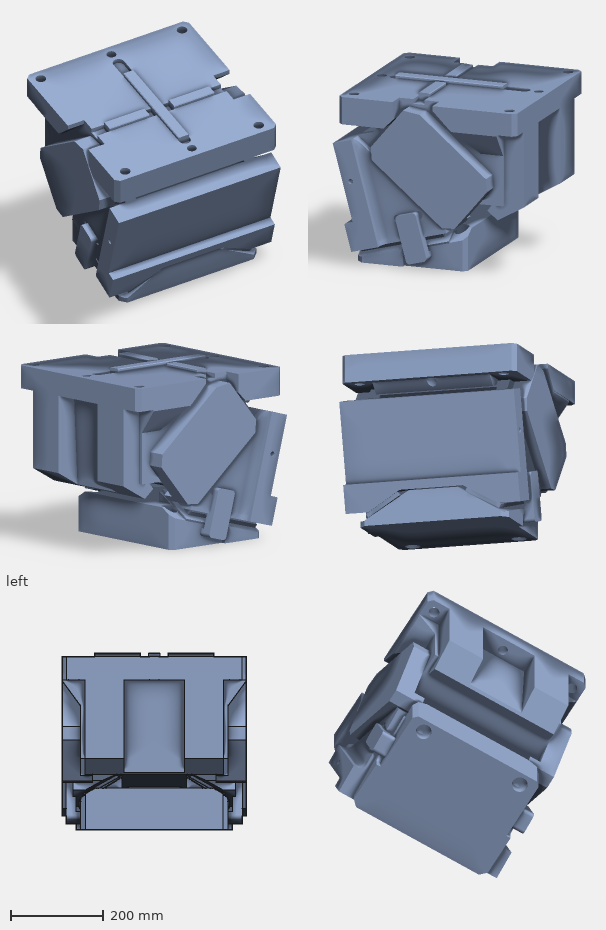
import cadquery as cq
import math

length = 426.5
width = 400.0
height = 384.0
half_width = width / 2
core_half_width = 159.5

plate_length = 414.8
plate_top = 376.5
plate_bottom = 315.0
plate_bottom_left = 325.5
plate_corner_chamfer = 10.0
key_slot_width = 26.0
key_slot_depth = 10.5
key_chamfer = 1.5
long_slot_start = 45.0
long_slot_end = 371.2
long_key_start = 103.0
long_key_end = 354.0
cross_slot_x = 241.5
cross_key_inner = 30.5
cross_key_outer = 129.7
corner_hole_diameter = 23.0
middle_hole_diameter = 21.5
left_hole_x = 24.7
left_hole_y = 174.5
right_hole_x = 390.5
right_hole_y = 165.0

notch_left = 194.0
notch_left_elbow = 365.5
notch_right = 287.0
notch_right_elbow = 336.0
notch_floor = 256.0

wall_half_width = 150.5
wall_thickness = 45.2
wall_bottom = 155.5
hook_points = [(61.5, 120.5), (85.8, 140.0), (73.0, wall_bottom)]
recess_half_width = 65.3
recess_depth_top = 44.5
recess_depth_bottom = 55.5
recess_bottom = 106.5
gusset_bottom = 269.0
gusset_top = 322.0
gusset_half_width = 199.0

tilt = math.radians(15)
slide_length = 199.5
slide_height = 243.2
toe_length = 220.0
toe_height = 63.0
body_half_width = 176.5
flange_start = 155.5
flange_fillet = 16.2
side_hole_u = 180.5
side_hole_v = 153.0
side_hole_diameter = 11.0
side_hole_depth = 21.5
slide_corner_x = length - slide_length * math.cos(tilt) - slide_height * math.sin(tilt)
slide_corner_z = 87.0

travel = math.radians(40)
body_left_height = slide_height - flange_start * math.tan(travel + tilt)
side_plate_start = -27.5
side_plate_end = 228.3
side_plate_height = 158.0
side_plate_chamfer = 20.5
side_plate_long_chamfer = 33.5
rail_inner = 134.0
rail_height = 37.0
rail_end = 251.5
rail_nose_height = 27.7
stop_start = 256.5
stop_tip = 269.2
stop_end = 307.2
stop_bottom = 17.0

clip_start = 54.0
clip_end = 103.3
clip_top = 59.0
clip_bottom = -50.8
clip_foot_top = -34.0
clip_inner = 170.0
clip_outer = 191.5
clip_radius = 7.5
clip_slot_length = 68.5
clip_slot_height = 18.0
clip_slot_depth = 3.5

roof_angle = math.radians(30)
roof_slope = math.tan(roof_angle)
guide_half_width = 148.5
guide_ridge_half_width = 72.5
guide_gap = 1.5
wear_thickness = 9.5
wear_start = 18.8
wear_end = 217.5
wear_inner = 80.5
wear_outer = 154.5
wear_drop = wear_thickness / math.cos(roof_angle)

driver_left = 130.5
driver_right = 385.0
driver_half_width = 159.5
driver_wide_half_width = 170.0
driver_step_top = 91.0
driver_eave = -24.7
driver_ridge_half_width = 55.5
guide_lip_outer = 163.0
guide_lip_thickness = 5.0
channel_half_width = 70.5
channel_end = 303.0
channel_radius = 20.5
driver_chamfer_left = 10.0
driver_chamfer_right = 14.0
driver_hole_x = 156.0
driver_hole_y = 121.5
driver_hole_diameter = 34.0
ledge_start = 70.5
ledge_top = -19.0
ledge_bottom = -33.3
ledge_step_x = 275.2
ledge_arc_start = (263.3, 27.7)
ledge_arc_middle = (271.5, 26.0)
ledge_arc_end_z = 20.5


def tilted_point(u, v):
    """X and Z of a point given along and across the slide's tilted base."""
    x = slide_corner_x + u * math.cos(tilt) + v * math.sin(tilt)
    z = slide_corner_z - u * math.sin(tilt) + v * math.cos(tilt)
    return x, z


def side_frame(x, z, angle):
    """Workplane in the symmetry plane, facing -Y, with its first axis raised by an angle."""
    direction = (math.cos(angle), 0, math.sin(angle))
    return cq.Workplane(cq.Plane((x, 0, z), direction, (0, -1, 0)))


level = side_frame(0, 0, 0)
slide_frame = side_frame(slide_corner_x, slide_corner_z, -tilt)
travel_frame = side_frame(*tilted_point(0, body_left_height), travel)


def centred_prism(frame, points, half):
    """Prism across the symmetry plane."""
    return frame.polyline(points).close().extrude(half, both=True)


def both_sides(near_side):
    """A feature on the -Y side together with its mirror image."""
    return near_side.union(near_side.mirror("XZ"))


def side_prisms(frame, points, inner, outer):
    """Two mirrored prisms between an inner and an outer distance from the symmetry plane."""
    return both_sides(frame.workplane(offset=inner).polyline(points).close().extrude(outer - inner))


def block(x_range, y_range, z_range):
    """Box given by its limits along each axis."""
    sizes = [high - low for low, high in (x_range, y_range, z_range)]
    corner = (x_range[0], y_range[0], z_range[0])
    return cq.Workplane("XY").box(*sizes, centered=False).translate(corner)


def tilted_extrusion(section, start, end):
    """Closed Y-V section extruded along the slide's tilted base."""
    x, z = tilted_point(start, 0)
    along = (math.cos(tilt), 0, -math.sin(tilt))
    plane = cq.Plane((x, 0, z), (0, 1, 0), along)
    return cq.Workplane(plane).polyline(section).close().extrude(end - start)


def roof_section(half, eave, ridge_half, floor):
    """Roof outline, symmetric in Y, with a flat ridge."""
    ridge = eave + (half - ridge_half) * roof_slope
    right_half = [(half, floor), (half, eave), (ridge_half, ridge)]
    return right_half + [(-y, v) for y, v in reversed(right_half)]


def holder_plate():
    full = (-half_width, half_width)
    plate = block((0, plate_length), full, (plate_bottom, plate_top))
    plate = plate.edges("|Z").chamfer(plate_corner_chamfer)
    return plate.cut(block((0, notch_left), full, (plate_bottom, plate_bottom_left)))


def holder_gussets():
    """Sloping webs that widen the core up to the plate's edges."""
    section = [
        (0, gusset_bottom),
        (core_half_width, gusset_bottom),
        (gusset_half_width, gusset_top),
        (gusset_half_width, plate_bottom_left),
        (0, plate_bottom_left),
    ]
    gusset = cq.Workplane("YZ").workplane(offset=wall_thickness).polyline(section).close()
    return both_sides(gusset.extrude(notch_left - wall_thickness))


def side_notches():
    """Openings in the plate edges that let the slide's side plates pass."""
    foot_left = notch_left - (notch_left_elbow - gusset_bottom)
    foot_right = notch_right + (notch_right_elbow - plate_bottom)
    points = [
        (notch_left, plate_top),
        (notch_left, notch_left_elbow),
        (foot_left, gusset_bottom),
        (foot_left, notch_floor),
        (foot_right, notch_floor),
        (foot_right, plate_bottom),
        (notch_right, notch_right_elbow),
        (notch_right, plate_top),
    ]
    return side_prisms(level, points, core_half_width, half_width)


def holder_core():
    """Block above the slide's rails, trimmed to the travel direction underneath."""
    y_range = (-core_half_width, core_half_width)
    core = block((wall_thickness, plate_length), y_range, (wall_bottom, plate_top))
    under_rails = [
        (-length, rail_height),
        (-length, -length),
        (length, -length),
        (length, length),
        (rail_end, length),
        (rail_end, rail_height),
    ]
    return core.cut(centred_prism(travel_frame, under_rails, half_width))


def rear_wall():
    """Wall with a hooked foot and a drafted recess in the middle."""
    outline = [
        (0, plate_top),
        (0, wall_bottom),
        *hook_points,
        (wall_thickness, wall_bottom),
        (wall_thickness, plate_top),
    ]
    return centred_prism(level, outline, wall_half_width)


def rear_recess():
    outline = [
        (0, plate_bottom_left),
        (recess_depth_top, plate_bottom_left),
        (recess_depth_bottom, recess_bottom),
        (0, recess_bottom),
    ]
    return centred_prism(level, outline, recess_half_width)


def front_stop():
    """Nose below the plate, facing the front end of the rails."""
    top = stop_bottom + rail_height
    outline = [
        (stop_start, top),
        (stop_start, rail_height),
        (stop_tip, stop_bottom),
        (stop_end, stop_bottom),
        (stop_end, top),
    ]
    below_plate = block((0, length), (-half_width, half_width), (0, plate_bottom))
    return centred_prism(travel_frame, outline, rail_inner).intersect(below_plate)


def key_slots():
    slot_floor = plate_top - key_slot_depth
    long_slot = (
        cq.Workplane("XY", origin=((long_slot_start + long_slot_end) / 2, 0, slot_floor))
        .slot2D(long_slot_end - long_slot_start, key_slot_width)
        .extrude(key_slot_depth)
    )
    cross_range = (cross_slot_x - key_slot_width / 2, cross_slot_x + key_slot_width / 2)
    return long_slot.union(block(cross_range, (-core_half_width, core_half_width), (slot_floor, plate_top)))


def holder_keys():
    z_range = (plate_top - key_slot_depth, height)
    half_key = key_slot_width / 2
    long_key = block((long_key_start, long_key_end), (-half_key, half_key), z_range)
    cross_range = (cross_slot_x - half_key, cross_slot_x + half_key)
    cross_key = block(cross_range, (cross_key_inner, cross_key_outer), z_range)
    long_key = long_key.faces(">Z").edges("|X").chamfer(key_chamfer)
    cross_key = cross_key.faces(">Z").edges("|Y").chamfer(key_chamfer)
    return long_key.union(both_sides(cross_key))


def holder_holes():
    holes = cq.Workplane("XY")
    for x, y in ((left_hole_x, left_hole_y), (right_hole_x, right_hole_y)):
        corners = cq.Workplane("XY").pushPoints([(x, -y), (x, y)])
        corners = corners.circle(corner_hole_diameter / 2).extrude(height)
        middle = cq.Workplane("XY").center(x, 0).circle(middle_hole_diameter / 2).extrude(height)
        holes = holes.add(corners).add(middle)
    return holes.combine()


def make_holder():
    holder = holder_plate().union(holder_gussets()).cut(side_notches())
    holder = holder.union(holder_core()).union(rear_wall()).cut(rear_recess())
    holder = holder.union(front_stop()).cut(holder_holes())
    return holder.cut(key_slots()).union(holder_keys())


def slide_body():
    outline = [
        (0, 0),
        (toe_length, 0),
        (toe_length, toe_height),
        (slide_length, toe_height),
        (slide_length, slide_height),
        (flange_start, slide_height),
        (0, body_left_height),
    ]
    return centred_prism(slide_frame, outline, body_half_width)


def slide_flanges():
    """Raised front margins, blended into the body by a concave fillet."""
    outline = [
        (flange_start, 0),
        (toe_length, 0),
        (toe_length, toe_height),
        (slide_length, toe_height),
        (slide_length, slide_height),
        (flange_start, slide_height),
    ]
    flanges = side_prisms(slide_frame, outline, body_half_width, half_width)
    x, z = tilted_point(0, 0)
    up = (math.sin(tilt), 0, math.cos(tilt))
    base = cq.Workplane(cq.Plane((x, 0, z), (math.cos(tilt), 0, -math.sin(tilt)), up))
    fillet = (
        base.moveTo(flange_start, body_half_width)
        .lineTo(flange_start - flange_fillet, body_half_width)
        .radiusArc((flange_start, body_half_width + flange_fillet), -flange_fillet)
        .close()
        .extrude(slide_height)
    )
    below_travel = [(-length, 0), (length, 0), (length, -length), (-length, -length)]
    fillets = both_sides(fillet).intersect(centred_prism(travel_frame, below_travel, half_width))
    return flanges.union(fillets)


def side_plates():
    """Tall plates along the travel direction, with all corners cut off."""
    start, end, top, cut = side_plate_start, side_plate_end, side_plate_height, side_plate_chamfer
    outline = [
        (start + cut, 0),
        (end - cut, 0),
        (end, cut),
        (end, top - cut),
        (end - side_plate_long_chamfer, top),
        (start + cut, top),
        (start, top - cut),
        (start, cut),
    ]
    return side_prisms(travel_frame, outline, core_half_width, half_width)


def slide_rails():
    """Inward ledges along the foot of the side plates, with a nose reaching the flange."""
    nose_end = flange_start / math.cos(travel + tilt)
    outline = [
        (side_plate_start + side_plate_chamfer, 0),
        (nose_end, 0),
        (rail_end, rail_nose_height),
        (rail_end, rail_height),
        (side_plate_start, rail_height),
        (side_plate_start, side_plate_chamfer),
    ]
    return side_prisms(travel_frame, outline, rail_inner, core_half_width)


def clips():
    """Plates hanging from the slide, with a foot that hooks under the driver's ledge."""
    lower_edge = [(clip_start, clip_bottom), (clip_end, clip_bottom)]
    outline = lower_edge + [(clip_end, clip_top), (clip_start, clip_top)]
    foot = lower_edge + [(clip_end, clip_foot_top), (clip_start, clip_foot_top)]
    plates = side_prisms(slide_frame, outline, clip_inner, clip_outer)
    feet = side_prisms(slide_frame, foot, driver_half_width, clip_inner)
    rounding = (
        slide_frame.center((clip_start + clip_end) / 2, (clip_bottom + clip_top) / 2)
        .rect(clip_end - clip_start, clip_top - clip_bottom)
        .extrude(half_width, both=True)
        .edges("|Y")
        .fillet(clip_radius)
    )
    return plates.union(feet).intersect(rounding)


def clip_slots():
    slot = (
        slide_frame.workplane(offset=body_half_width - clip_slot_depth)
        .center((clip_start + clip_end) / 2, clip_top - clip_slot_height / 2)
        .slot2D(clip_slot_length, clip_slot_height)
        .extrude(clip_slot_depth)
    )
    return both_sides(slot)


def side_holes():
    hole = (
        slide_frame.workplane(offset=half_width - side_hole_depth)
        .center(side_hole_u, side_hole_v)
        .circle(side_hole_diameter / 2)
        .extrude(side_hole_depth)
    )
    return both_sides(hole)


def roof_recess():
    """Roof-shaped hollow in the slide's underside, straddling the driver."""
    section = roof_section(guide_half_width, 0, guide_ridge_half_width, -toe_height)
    return tilted_extrusion(section, 0, toe_length)


def wear_plates():
    """Plates lining both slopes of the roof-shaped recess."""
    upper_inner = (wear_inner, (guide_half_width - wear_inner) * roof_slope)
    upper_outer = (wear_outer, (guide_half_width - wear_outer) * roof_slope)
    inward = wear_thickness * math.sin(roof_angle)
    down = wear_thickness * math.cos(roof_angle)
    lower_outer = (upper_outer[0] - inward, upper_outer[1] - down)
    lower_inner = (upper_inner[0] - inward, upper_inner[1] - down)
    section = [upper_inner, upper_outer, lower_outer, lower_inner]
    return both_sides(tilted_extrusion(section, wear_start, wear_end))


def make_slide():
    slide = slide_body().cut(roof_recess()).union(slide_flanges()).union(side_plates()).union(slide_rails())
    return slide.cut(clip_slots()).cut(side_holes()).union(clips()).union(wear_plates())


def driver_base():
    """Roofed block with a flat step at its left end."""
    base = block((driver_left, driver_right), (-driver_half_width, driver_half_width), (0, height))
    base = base.edges("|Z and <X").chamfer(driver_chamfer_left)
    roof = roof_section(driver_half_width, driver_eave, guide_ridge_half_width, -height)
    base = base.intersect(tilted_extrusion(roof, -length, length))
    step = block((0, slide_corner_x), (-half_width, half_width), (driver_step_top, height))
    holes = (
        cq.Workplane("XY")
        .pushPoints([(driver_hole_x, -driver_hole_y), (driver_hole_x, driver_hole_y)])
        .circle(driver_hole_diameter / 2)
        .extrude(height)
    )
    return base.cut(step).cut(holes)


def driver_guide():
    """Raised roof that carries the slide just clear of it, with lips over the driver's sides."""
    eave = (guide_half_width - guide_lip_outer) * roof_slope - wear_drop - guide_gap
    ridge = eave + (guide_lip_outer - driver_ridge_half_width) * roof_slope
    lip_inset = guide_lip_thickness * math.sin(roof_angle)
    lip_drop = guide_lip_thickness * math.cos(roof_angle)
    right_half = [
        (guide_half_width, -toe_height),
        (guide_half_width, driver_eave),
        (guide_lip_outer - lip_inset, eave - lip_drop),
        (guide_lip_outer, eave),
        (driver_ridge_half_width, ridge),
    ]
    section = right_half + [(-y, v) for y, v in reversed(right_half)]
    footprint = block((slide_corner_x, driver_right), (-half_width, half_width), (0, height))
    return tilted_extrusion(section, guide_gap, length).intersect(footprint)


def driver_channel():
    """Central channel along the ridge, open at the left and rounded at its right end."""
    channel = block((0, channel_end), (-channel_half_width, channel_half_width), (driver_step_top, height))
    return channel.edges("|Z and >X").fillet(channel_radius)


def driver_ledges():
    """Wider right end whose ledges overhang the clip feet."""
    left_x, left_top = tilted_point(ledge_start, ledge_top)
    right_top = left_top - (driver_right - left_x) * math.tan(tilt)
    return (
        level.moveTo(left_x, left_top)
        .lineTo(*tilted_point(ledge_start, ledge_bottom))
        .lineTo(*ledge_arc_start)
        .threePointArc(ledge_arc_middle, (ledge_step_x, ledge_arc_end_z))
        .lineTo(ledge_step_x, 0)
        .lineTo(driver_right, 0)
        .lineTo(driver_right, right_top)
        .close()
        .extrude(driver_wide_half_width, both=True)
    )


def make_driver():
    driver = driver_base().union(driver_ledges()).union(driver_guide()).cut(driver_channel())
    corner = [
        (driver_right, driver_wide_half_width),
        (driver_right - driver_chamfer_right, driver_wide_half_width),
        (driver_right, driver_wide_half_width - driver_chamfer_right),
    ]
    corner_cut = cq.Workplane("XY").polyline(corner).close().extrude(height)
    return driver.cut(both_sides(corner_cut))


holder = make_holder()
slide = make_slide()
driver = make_driver()
result = cq.Compound.makeCompound([holder.val(), slide.val(), driver.val()])